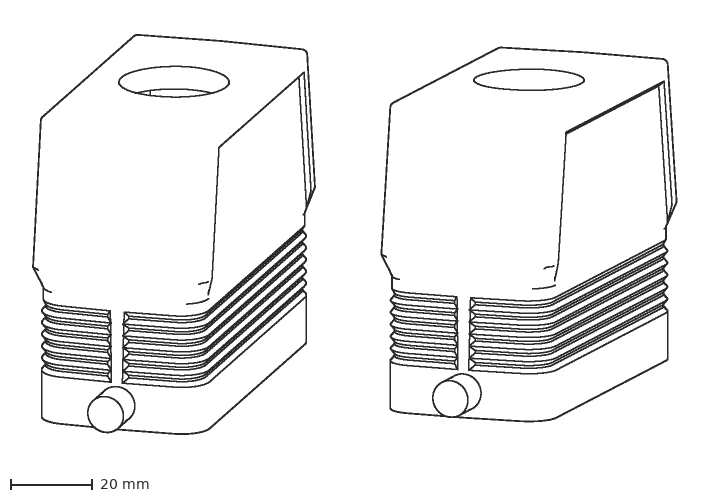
import cadquery as cq
import math

total_height = 76.0
pin_span = 111.7

skirt_half_width = 21.5
skirt_peak_y = 46.7
skirt_end_slope = 0.038
skirt_corner_radius = 7.1
skirt_height = 33.1
skirt_draft = 0.016

groove_count = 6
groove_pitch = 3.0
band_bottom = 12.0
band_top = band_bottom + groove_count * groove_pitch
groove_depth = 1.0
crest_inset = 0.06
groove_flank_height = 1.17
web_crest_half_width = 1.3
web_root_half_width = 2.6
web_depth = 1.8

hood_half_width = 45.0 / 2
hood_bottom = 38.9
hood_end_taper = 0.178
hood_end_slope = 0.016
roof_ridge_rise = 0.2
hood_edge_radius = 1.5
edge_clearance = 1.1

recess_depth = 1.06
recess_top = 70.7
recess_end_margin = 4.9
pin_radius = 4.6
pin_height = 6.4
cable_hole_radius = 13.5
wall = 3.4
roof_thickness = 5.8


def peaked_outline(half_width, peak_y, slope, z):
    """Six-sided plan outline whose two ends come to a shallow peak on the Y axis."""
    corner_y = peak_y - slope * half_width
    points = [
        (0, peak_y), (half_width, corner_y), (half_width, -corner_y),
        (0, -peak_y), (-half_width, -corner_y), (-half_width, corner_y),
    ]
    return cq.Workplane("XY").workplane(offset=z).polyline(points).close().wires().val()


def rounded_outline(half_width, peak_y, slope, radius, z):
    """Peaked outline with its four side corners rounded."""
    lean = math.atan(slope)
    corner_y = peak_y - slope * half_width
    setback = radius * math.tan((math.pi / 2 - lean) / 2)
    start_x = half_width - setback * math.cos(lean)
    start_y = peak_y - slope * start_x
    end_y = corner_y - setback
    turn = (math.pi / 2 + lean) / 2
    mid_x = half_width - radius + radius * math.cos(turn)
    mid_y = end_y + radius * math.sin(turn)
    return (
        cq.Workplane("XY").workplane(offset=z)
        .moveTo(0, peak_y)
        .lineTo(start_x, start_y)
        .threePointArc((mid_x, mid_y), (half_width, end_y))
        .lineTo(half_width, -end_y)
        .threePointArc((mid_x, -mid_y), (start_x, -start_y))
        .lineTo(0, -peak_y)
        .lineTo(-start_x, -start_y)
        .threePointArc((-mid_x, -mid_y), (-half_width, -end_y))
        .lineTo(-half_width, end_y)
        .threePointArc((-mid_x, mid_y), (-start_x, start_y))
        .close()
        .wires().val()
    )


def draft_at(z):
    """Inward lean of the skirt face, which is upright below the band."""
    return skirt_draft * max(0, z - band_bottom)


def skirt_outline(z):
    """Outer skirt outline at a height, following the draft."""
    lean_in = draft_at(z)
    return rounded_outline(
        skirt_half_width - lean_in, skirt_peak_y - lean_in,
        skirt_end_slope, skirt_corner_radius, z,
    )


def inset_outline(z, inset):
    """Outline drawn in evenly from the upright skirt face."""
    return rounded_outline(
        skirt_half_width - inset, skirt_peak_y - inset,
        skirt_end_slope, skirt_corner_radius - inset, z,
    )


def loft(*outlines):
    """Solid with straight walls between successive outlines."""
    return cq.Workplane(obj=cq.Solid.makeLoft(list(outlines), True))


def make_skirt():
    """Skirt as one stack of outlines, drawn in at the root of every groove."""
    outlines = [skirt_outline(0), skirt_outline(band_bottom)]
    for i in range(groove_count):
        groove_bottom = band_bottom + i * groove_pitch
        groove_top = groove_bottom + groove_pitch
        if i > 0:
            outlines.append(inset_outline(groove_bottom, crest_inset))
        outlines.append(inset_outline(groove_bottom + groove_flank_height, groove_depth))
        outlines.append(inset_outline(groove_top - groove_flank_height, groove_depth))
    outlines.append(skirt_outline(band_top))
    outlines.append(skirt_outline(skirt_height))
    return add_webs(loft(*outlines))


def add_webs(skirt):
    """Replace the ribs in the middle of both ends by an upright web that follows the draft."""
    flare_out = (web_root_half_width - web_crest_half_width) / groove_depth
    base_half_width = web_crest_half_width + flare_out * web_depth
    base_y = skirt_peak_y - web_depth
    wedge_points = [
        (-web_crest_half_width, skirt_peak_y), (web_crest_half_width, skirt_peak_y),
        (base_half_width, base_y), (-base_half_width, base_y),
    ]
    wedge = (
        cq.Workplane("XY").workplane(offset=band_bottom)
        .polyline(wedge_points).close().extrude(band_top - band_bottom)
    )
    wedges = wedge.union(wedge.mirror("XZ"))
    webs = wedges.intersect(loft(skirt_outline(band_bottom), skirt_outline(band_top)))
    return skirt.cut(wedges).union(webs)


def hood_peak(z):
    """Y of the middle of the hood end; it starts flush with the top of the skirt."""
    start = skirt_peak_y - draft_at(skirt_height)
    return start - hood_end_taper * (z - skirt_height)


def make_flare():
    """Widening from the rounded skirt top to the hood outline."""
    corner_y = hood_peak(hood_bottom) - hood_end_slope * hood_half_width
    flare_peak = corner_y + skirt_end_slope * hood_half_width
    hood_outline = rounded_outline(
        hood_half_width, flare_peak, skirt_end_slope, hood_edge_radius, hood_bottom,
    )
    return loft(skirt_outline(skirt_height), hood_outline)


def make_hood_block():
    """Straight-sided block with leaning, peaked ends and rounded edges."""
    ends = loft(
        peaked_outline(hood_half_width, hood_peak(skirt_height), hood_end_slope, skirt_height),
        peaked_outline(hood_half_width, hood_peak(total_height), hood_end_slope, total_height),
    )
    eave = total_height - roof_ridge_rise
    roof_points = [
        (-hood_half_width, skirt_height), (hood_half_width, skirt_height),
        (hood_half_width, eave), (0, total_height), (-hood_half_width, eave),
    ]
    roof = cq.Workplane("XZ").polyline(roof_points).close().extrude(skirt_peak_y, both=True)
    hood = ends.intersect(roof)
    return hood.edges(outer_hood_edges()).fillet(hood_edge_radius)


def outer_hood_edges():
    """Roof and corner edges on both sides: all but the middle ridges and the lower rim."""
    near = edge_clearance
    far = hood_half_width + edge_clearance
    low = skirt_height + edge_clearance
    high = total_height + edge_clearance
    right_side = cq.selectors.BoxSelector((near, -skirt_peak_y, low), (far, skirt_peak_y, high))
    left_side = cq.selectors.BoxSelector((-far, -skirt_peak_y, low), (-near, skirt_peak_y, high))
    return right_side + left_side


def make_hood():
    """Hood block, with its lower rim trimmed back to the flare."""
    block = make_hood_block()
    rim_box = (
        cq.Workplane("XY").workplane(offset=skirt_height)
        .rect(2 * hood_half_width, 2 * skirt_peak_y).extrude(hood_bottom - skirt_height)
    )
    return block.cut(rim_box).union(block.intersect(make_flare()))


def recess_outline(x, inset):
    """Trapezoid parallel to the hood ends, running down to the top of the skirt."""
    top = recess_top - inset
    end_margin = recess_end_margin + inset
    top_y = hood_peak(top) - end_margin
    bottom_y = hood_peak(skirt_height) - end_margin
    points = [(-bottom_y, skirt_height), (bottom_y, skirt_height), (top_y, top), (-top_y, top)]
    return cq.Workplane("YZ").workplane(offset=x).polyline(points).close().wires().val()


def make_recesses():
    """Shallow trapezoid pockets in both long sides."""
    floor_x = hood_half_width - recess_depth
    recess = loft(recess_outline(floor_x, recess_depth), recess_outline(hood_half_width, 0))
    return recess.union(recess.mirror("YZ"))


def make_cavity():
    """Open-bottomed hollow whose ends follow the hood taper above the skirt."""
    ceiling = total_height - roof_thickness
    skirt_y = hood_peak(skirt_height) - wall
    ceiling_y = hood_peak(ceiling) - wall
    profile = [
        (-skirt_y, 0), (skirt_y, 0), (skirt_y, skirt_height),
        (ceiling_y, ceiling), (-ceiling_y, ceiling), (-skirt_y, skirt_height),
    ]
    lengthwise = cq.Workplane("YZ").polyline(profile).close().extrude(hood_half_width, both=True)
    return lengthwise.intersect(loft(inset_outline(0, wall), inset_outline(ceiling, wall)))


def make_pins():
    """Round lock pins on both ends, kept out of the hollow."""
    pins = cq.Workplane("XZ").center(0, pin_height).circle(pin_radius).extrude(pin_span / 2, both=True)
    interior = cq.Workplane("XY").box(pin_span, 2 * (skirt_peak_y - wall / 2), 2 * total_height)
    return pins.cut(interior)


cable_hole = (
    cq.Workplane("XY").workplane(offset=total_height / 2)
    .circle(cable_hole_radius).extrude(total_height)
)

shell = make_skirt().union(make_hood()).cut(make_recesses()).cut(make_cavity()).cut(cable_hole)
result = shell.union(make_pins())